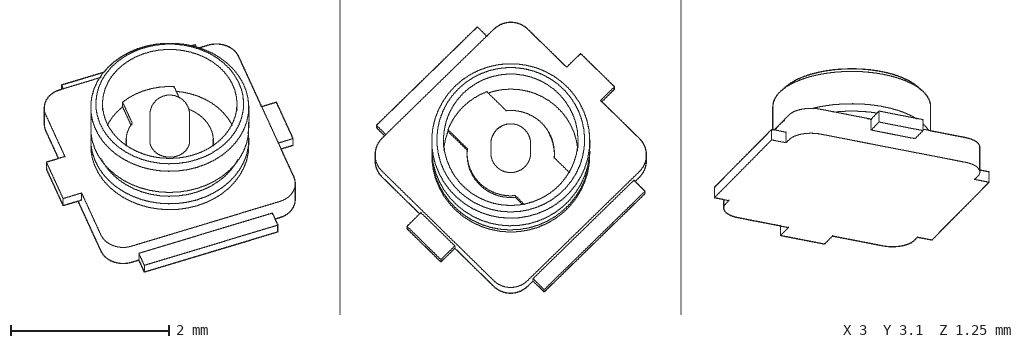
import cadquery as cq

base_size = 2.6
base_height = 0.35
base_corner_radius = 0.3

overall_width = 3.0
overall_length = 3.1
pad_length = 1.8
tab_width = 0.608
contact_thickness = 0.15
front_tab_thickness = 0.155

overall_height = 1.25
barrel_radius = 0.998
groove_radius = 0.933
bore_radius = 0.85
top_chamfer_height = 0.07
groove_top = 0.722
groove_bottom = 0.477
groove_slope_height = 0.07

strip_width = 0.695
strip_disc_radius = 0.552
strip_top = 0.45
pin_radius = 0.25
pin_top = overall_height
pin_flat_radius = 0.025


def block(width, length, height, y_center=0, bottom=0):
    """Box centred on X, standing on the given bottom height."""
    return (
        cq.Workplane("XY", origin=(0, y_center, bottom))
        .box(width, length, height, centered=(True, True, False))
    )


def make_base():
    return block(base_size, base_size, base_height).edges("|Z").fillet(base_corner_radius)


def make_contacts():
    """Side pads and rear tab lie at the bottom; the front tab is flush with the base top."""
    tab_reach = overall_length / 2
    side_pads = block(overall_width, pad_length, contact_thickness)
    rear_tab = block(tab_width, tab_reach, contact_thickness, tab_reach / 2)
    front_tab = block(
        tab_width, tab_reach, front_tab_thickness, -tab_reach / 2, base_height - front_tab_thickness
    )
    return side_pads.union(rear_tab).union(front_tab)


def make_barrel():
    """Hollow ring with a top chamfer and a sloped snap groove around the outside."""
    profile = [
        (bore_radius, base_height),
        (barrel_radius, base_height),
        (barrel_radius, groove_bottom),
        (groove_radius, groove_bottom + groove_slope_height),
        (groove_radius, groove_top - groove_slope_height),
        (barrel_radius, groove_top),
        (barrel_radius, overall_height - top_chamfer_height),
        (groove_radius, overall_height),
        (bore_radius, overall_height),
    ]
    return cq.Workplane("XZ").polyline(profile).close().revolve(360, (0, 0), (0, 1))


def make_floor_strip():
    """Raised strip across the bore along X, widened by a disc around the pin."""
    bore = cq.Workplane("XY").circle(bore_radius).extrude(strip_top)
    strip = block(2 * bore_radius, strip_width, strip_top).intersect(bore)
    disc = cq.Workplane("XY").circle(strip_disc_radius).extrude(strip_top)
    return strip.union(disc)


def make_pin():
    """Round pin with a domed end and a tiny flat at its tip."""
    pin = cq.Workplane("XY").circle(pin_radius).extrude(pin_top)
    return pin.faces(">Z").edges().fillet(pin_radius - pin_flat_radius)


result = (
    make_base()
    .union(make_contacts())
    .union(make_barrel())
    .union(make_floor_strip())
    .union(make_pin())
)